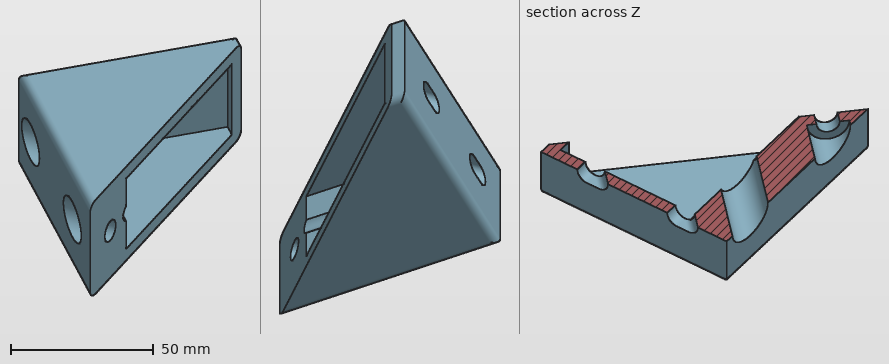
import cadquery as cq
import math

LENGTH = 85.0
DEPTH = 80.0
HEIGHT = 40.0
EDGE_RADIUS = 3.0
TIP_WIDTH = LENGTH - DEPTH

WALL = 5.0
BASE_THICKNESS = 19.0

BORE_DIAMETER = 15.0
SCREW_DIAMETER = 8.2
BORE_FLOOR = 5.0
BORE_X = (14.2, 63.75)

FLARED_HOLE_Y = (21.5, 60.2)
FLARE = WALL


def wedge_block():
    """Solid wedge with rounded outer edges; the sloping face stays sharp."""
    outline = [(0, 0), (LENGTH, 0), (TIP_WIDTH, DEPTH), (0, DEPTH)]
    block = cq.Workplane("XY").polyline(outline).close().extrude(HEIGHT / 2, both=True)
    outer_edges = (
        block.faces("<X").edges("|Y")
        .add(block.faces("<Y").edges("|X"))
        .add(block.faces(">Y").edges("|X"))
    )
    return outer_edges.fillet(EDGE_RADIUS)


def hollow():
    """Space behind the sloping face, inside the walls."""
    top = DEPTH - WALL
    outline = [
        (WALL, BASE_THICKNESS),
        (LENGTH - BASE_THICKNESS, BASE_THICKNESS),
        (LENGTH - top, top),
        (WALL, top),
    ]
    return cq.Workplane("XY").polyline(outline).close().extrude(HEIGHT / 2 - WALL, both=True)


def angled_hole(x):
    """Counterbore from the base face at x, then a screw hole out of the sloping face."""
    axis = cq.Vector(1, 1, 0).normalized()
    entry = cq.Vector(x, 0, 0)
    slope_distance = (LENGTH - x) / math.sqrt(2)
    bore_length = slope_distance - BORE_FLOOR + BORE_DIAMETER
    screw_length = slope_distance + SCREW_DIAMETER
    bore = cq.Solid.makeCylinder(BORE_DIAMETER / 2, bore_length, entry - axis * BORE_DIAMETER, axis)
    screw = cq.Solid.makeCylinder(SCREW_DIAMETER / 2, screw_length, entry, axis)
    return cq.Workplane(bore.fuse(screw))


def flared_hole(y):
    """Straight hole along X, joined to an oblique one that leans towards the base."""
    radius = SCREW_DIAMETER / 2
    mouth_y = y - FLARE
    lean_path = cq.Workplane("XY").moveTo(0, mouth_y).lineTo(WALL, y)
    straight = cq.Workplane("YZ").center(y, 0).circle(radius).extrude(LENGTH)
    leaning = cq.Workplane("YZ").center(mouth_y, 0).circle(radius).sweep(lean_path)
    between = (
        cq.Workplane("XY")
        .polyline([(0, y), (0, mouth_y), (WALL, y)])
        .close()
        .extrude(radius, both=True)
    )
    return straight.union(leaning).union(between)


result = wedge_block().cut(hollow())
for bore_x in BORE_X:
    result = result.cut(angled_hole(bore_x))
for hole_y in FLARED_HOLE_Y:
    result = result.cut(flared_hole(hole_y))